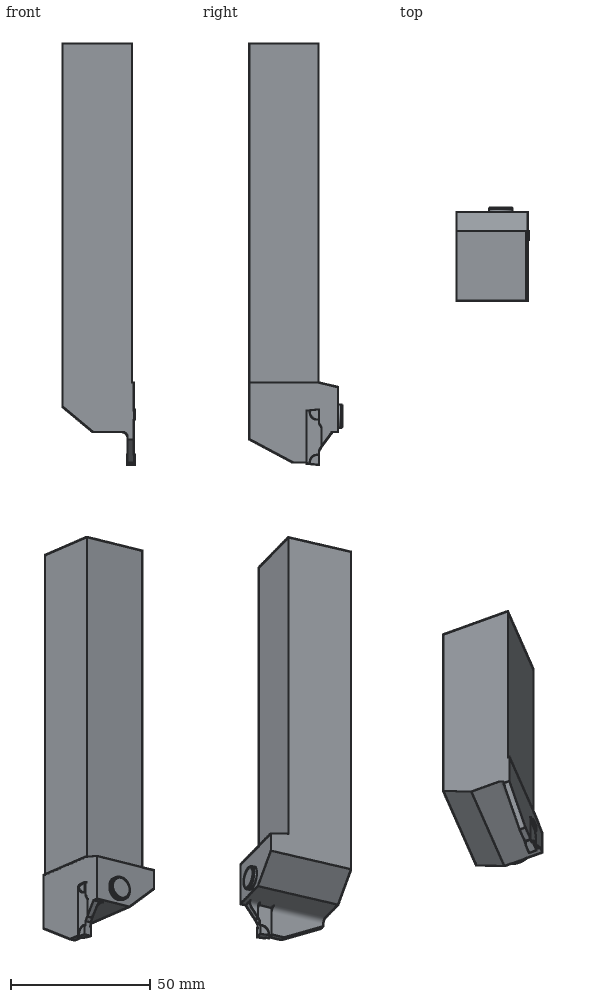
import cadquery as cq

total_length = 151.4

shank_size = 25.0
head_width = 25.6
head_top = 29.7
head_depth = 32.0
head_slope_drop = 1.7
head_bottom = 11.8
corner_cut_width = 10.9
corner_cut_top = 20.9

blade_thickness = 2.3
blade_left = head_width - blade_thickness
blade_fillet = 2.0
blade_bottom = 0.9
blade_front_bottom = 9.2
blade_slope_end = 15.6
jaw_bottom_back = 29.8

insert_length = 20.0
insert_front = 20.6
insert_back = 26.0
edge_y = 25.1
edge_relief = 0.5
insert_waist_start = 6.7
insert_shoulder = 5.1
tip_width = 2.9
tip_right = 26.0
tip_left = tip_right - tip_width
tip_height = 3.6
tip_bulge = 2.7
tip_arc_end = insert_front + 1.2

screw_diameter = 8.5
screw_height = 1.5
screw_chamfer = 0.5
screw_x = 15.9
screw_z = 17.5


def extrude_x(outline, left, right):
    """Extrude a closed YZ outline between two X positions."""
    return outline.extrude(right - left).translate((left, 0, 0))


def make_insert():
    """A thin bar with a wider cutting tip at each end."""
    lower = [
        (insert_front, edge_relief),
        (edge_y, 0),
        (edge_y, insert_shoulder),
        (insert_back, insert_waist_start),
    ]
    upper = [(y, insert_length - z) for y, z in reversed(lower)]
    bar = extrude_x(cq.Workplane("YZ").polyline(lower + upper).close(), blade_left, head_width)

    relief_slope = edge_relief / (edge_y - insert_front)
    arc_end_z = relief_slope * (edge_y - tip_arc_end)
    tip_outline = (
        cq.Workplane("YZ")
        .moveTo(edge_y, 0)
        .lineTo(edge_y, tip_height)
        .threePointArc((edge_y - tip_bulge, tip_bulge), (tip_arc_end, arc_end_z))
        .close()
    )
    lower_tip = extrude_x(tip_outline, tip_left, tip_right)
    upper_tip = lower_tip.mirror("XY", (0, 0, insert_length / 2))
    return bar.union(lower_tip).union(upper_tip)


def make_holder_blank():
    """Intersect the front and side outlines of the holder."""
    front_outline = (
        cq.Workplane("XZ")
        .moveTo(0, total_length)
        .lineTo(0, corner_cut_top)
        .lineTo(corner_cut_width, head_bottom)
        .lineTo(blade_left - blade_fillet, head_bottom)
        .radiusArc((blade_left, head_bottom - blade_fillet), blade_fillet)
        .lineTo(blade_left, 0)
        .lineTo(head_width, 0)
        .lineTo(head_width, head_top)
        .lineTo(shank_size, head_top)
        .lineTo(shank_size, total_length)
        .close()
        .extrude(-head_depth)
    )
    side_points = [
        (0, total_length),
        (shank_size, total_length),
        (shank_size, head_top),
        (head_depth, head_top - head_slope_drop),
        (head_depth, head_bottom),
        (jaw_bottom_back, head_bottom),
        (insert_back, insert_waist_start),
        (insert_front, insert_waist_start),
        (insert_front, blade_bottom),
        (blade_slope_end, blade_bottom),
        (0, blade_front_bottom),
    ]
    side_outline = cq.Workplane("YZ").polyline(side_points).close().extrude(head_width)
    return front_outline.intersect(side_outline)


def make_fillet_relief():
    """Clear the blade fillet beside the insert."""
    outline = cq.Workplane("YZ").polyline([
        (insert_front, 0),
        (insert_back, 0),
        (insert_back, head_bottom),
        (insert_front, head_bottom),
    ]).close()
    return extrude_x(outline, blade_left - blade_fillet, blade_left)


def make_screw_head():
    """Chamfered disc on the back of the head."""
    return (
        cq.Workplane("XZ", origin=(screw_x, head_depth, screw_z))
        .circle(screw_diameter / 2)
        .extrude(-screw_height)
        .faces(">Y")
        .chamfer(screw_chamfer)
    )


insert = make_insert()
holder = make_holder_blank().cut(make_fillet_relief()).cut(insert).union(make_screw_head())

result = cq.Compound.makeCompound([*holder.solids().vals(), *insert.solids().vals()])